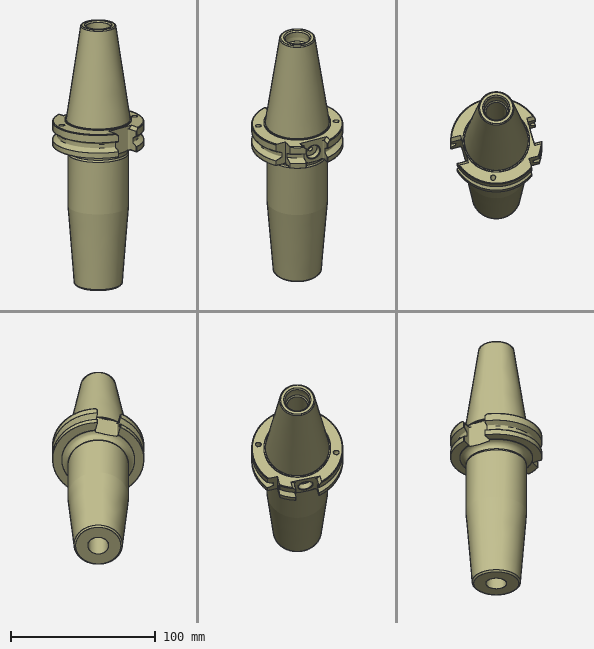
import cadquery as cq
import math

total_length = 188.2
taper_length = 68.5
gauge_z = total_length - taper_length
flange_gap = 1.1
flange_top_z = gauge_z - flange_gap
flange_thickness = 17.1
flange_bottom_z = flange_top_z - flange_thickness
nose_length = 57.0

taper_ratio = 7 / 24
taper_small_radius = 12.2
gauge_radius = taper_small_radius + taper_length * taper_ratio / 2
taper_end_chamfer = 0.8
collar_radius = 23.2
collar_height = 0.5
relief_radius = 21.8

flange_radius = 31.6
flange_edge_chamfer = 0.5
groove_radius = 28.0
groove_floor_width = 3.4
groove_fillet = 0.5
groove_depth_from_top = 9.6
groove_flank_angle = 30
groove_flank_height = (flange_radius - groove_radius) * math.tan(math.radians(groove_flank_angle))
groove_z = flange_top_z - groove_depth_from_top

neck_radius = 20.5
neck_fillet = 4.7
neck_shoulder_height = 0.4
body_radius = 21.0
neck_bevel_height = 1.3
nose_end_radius = 16.8
nose_chamfer = 1.1

slot_half_width = 8.1
slot_corner_radius = 1.0
slot_mouth_chamfer = 2.3
slot_rim_chamfer = 0.4
left_slot_floor = 24.8
right_slot_floor = 22.8
slot_overrun = 1.9

notch_offset = 18.5

through_radius = 7.2
recess_radius = 8.1
pilot_radius = 8.5
pilot_depth = 5.3
recess_depth = 8.0
bore_mouth_chamfer = 1.0

chip_radius = 5.0
chip_mouth_chamfer = 0.4
chip_depth = 4.5
chip_pin_radius = 1.5
chip_pin_depth = 2.8

coolant_radius = 1.7
coolant_pitch_radius = 27.1
coolant_angle = 70
coolant_tilt = 30


def holder_body():
    """Revolved outer shape: nose, body, neck, flange and taper."""
    shoulder_z = flange_bottom_z - neck_shoulder_height
    neck_z = shoulder_z - neck_fillet
    arc_drop = neck_fillet * math.sqrt(0.5)
    arc_mid = (neck_radius + neck_fillet - arc_drop, neck_z + arc_drop)
    profile = (
        cq.Workplane("XZ")
        .lineTo(nose_end_radius - nose_chamfer, 0)
        .lineTo(nose_end_radius, nose_chamfer)
        .lineTo(body_radius, nose_length)
        .lineTo(body_radius, neck_z - neck_bevel_height)
        .lineTo(neck_radius, neck_z)
        .threePointArc(arc_mid, (neck_radius + neck_fillet, shoulder_z))
        .lineTo(neck_radius + neck_fillet, flange_bottom_z)
        .lineTo(flange_radius, flange_bottom_z)
        .lineTo(flange_radius, flange_top_z - flange_edge_chamfer)
        .lineTo(flange_radius - flange_edge_chamfer, flange_top_z)
        .lineTo(relief_radius, flange_top_z)
        .lineTo(relief_radius, gauge_z - collar_height)
        .lineTo(collar_radius, gauge_z - collar_height)
        .lineTo(collar_radius, gauge_z)
        .lineTo(gauge_radius, gauge_z)
        .lineTo(taper_small_radius, total_length - taper_end_chamfer)
        .lineTo(taper_small_radius - taper_end_chamfer, total_length)
        .lineTo(0, total_length)
        .close()
    )
    return profile.revolve(360, (0, 0, 0), (0, 1, 0))


def gripper_groove():
    """V-groove cutter around the flange, with filleted floor corners."""
    floor_half = groove_floor_width / 2
    mouth_half = floor_half + groove_flank_height
    profile = (
        cq.Workplane("XZ")
        .moveTo(groove_radius, groove_z - floor_half)
        .lineTo(groove_radius, groove_z + floor_half)
        .lineTo(flange_radius, groove_z + mouth_half)
        .lineTo(flange_radius, groove_z - mouth_half)
        .close()
    )
    ring = profile.revolve(360, (0, 0, 0), (0, 1, 0))
    return ring.edges(cq.selectors.RadiusNthSelector(0)).fillet(groove_fillet)


def bore():
    """Tapering pull-stud bore that continues through to the tool end."""
    recess_z = total_length - recess_depth
    pilot_z = total_length - pilot_depth
    profile = (
        cq.Workplane("XZ")
        .lineTo(through_radius, 0)
        .lineTo(through_radius, recess_z - (recess_radius - through_radius))
        .lineTo(recess_radius, recess_z)
        .lineTo(pilot_radius, pilot_z)
        .lineTo(pilot_radius, total_length - bore_mouth_chamfer)
        .lineTo(pilot_radius + bore_mouth_chamfer, total_length)
        .lineTo(0, total_length)
        .close()
    )
    return profile.revolve(360, (0, 0, 0), (0, 1, 0))


def drive_slot(side, floor_distance):
    """Slot cutter with rounded floor corners, a flared upper mouth and bevelled rim edges."""
    depth = flange_radius - floor_distance + slot_overrun
    height = flange_thickness + neck_fillet
    center_x = side * (floor_distance + depth / 2)
    slot = (
        cq.Workplane("XY", origin=(center_x, 0, flange_top_z - height))
        .rect(depth, 2 * slot_half_width)
        .extrude(height)
        .edges("|Z and " + ("<X" if side > 0 else ">X"))
        .fillet(slot_corner_radius)
    )
    mouth_half_width = slot_half_width + slot_mouth_chamfer
    mouth = (
        cq.Workplane("YZ", origin=(center_x - depth / 2, 0, flange_top_z))
        .moveTo(-mouth_half_width, 0)
        .lineTo(mouth_half_width, 0)
        .lineTo(slot_half_width, -slot_mouth_chamfer)
        .lineTo(-slot_half_width, -slot_mouth_chamfer)
        .close()
        .extrude(depth)
    )
    rim_half_width = slot_half_width + slot_rim_chamfer
    rim_distance = math.sqrt(flange_radius**2 - rim_half_width**2)
    bevel_start = side * (rim_distance - slot_rim_chamfer)
    rim = (
        cq.Workplane("XY", origin=(0, 0, flange_top_z - height))
        .moveTo(bevel_start, -slot_half_width)
        .lineTo(bevel_start, slot_half_width)
        .lineTo(side * rim_distance, rim_half_width)
        .lineTo(side * flange_radius, rim_half_width)
        .lineTo(side * flange_radius, -rim_half_width)
        .lineTo(side * rim_distance, -rim_half_width)
        .close()
        .extrude(height)
    )
    return slot.union(mouth).union(rim)


def orientation_notch():
    """Square-cornered cutter removing the flange rim beyond the notch walls."""
    size = flange_radius - notch_offset
    return (
        cq.Workplane("XY", origin=(-notch_offset, notch_offset, flange_bottom_z))
        .rect(-size, size, centered=False)
        .extrude(flange_thickness)
    )


def chip_pocket():
    """Round pocket with a bevelled mouth and a small central hole, drilled inward along +X."""
    floor = cq.Workplane("YZ", origin=(-left_slot_floor, 0, groove_z))
    pocket = floor.circle(chip_radius).extrude(chip_depth)
    mouth = floor.circle(chip_radius + chip_mouth_chamfer).extrude(chip_mouth_chamfer, taper=45)
    pin = floor.circle(chip_pin_radius).extrude(chip_depth + chip_pin_depth)
    return pocket.union(mouth).union(pin)


def coolant_channel(angle):
    """Channel that leans toward the axis and ends on the axis of the bore."""
    tilt = math.radians(coolant_tilt)
    inward = cq.Vector(-math.sin(tilt), 0, -math.cos(tilt))
    length = coolant_pitch_radius / math.sin(tilt)
    overrun = 2 * coolant_radius
    mouth = cq.Vector(coolant_pitch_radius, 0, flange_top_z)
    start = mouth - inward * overrun
    channel = cq.Solid.makeCylinder(coolant_radius, length + overrun, start, inward)
    return cq.Workplane(channel).rotate((0, 0, 0), (0, 0, 1), angle)


result = holder_body()
result = result.cut(gripper_groove())
result = result.cut(drive_slot(-1, left_slot_floor))
result = result.cut(drive_slot(1, right_slot_floor))
result = result.cut(orientation_notch())
result = result.cut(chip_pocket())
for angle in (coolant_angle, coolant_angle + 180):
    result = result.cut(coolant_channel(angle))
result = result.cut(bore())